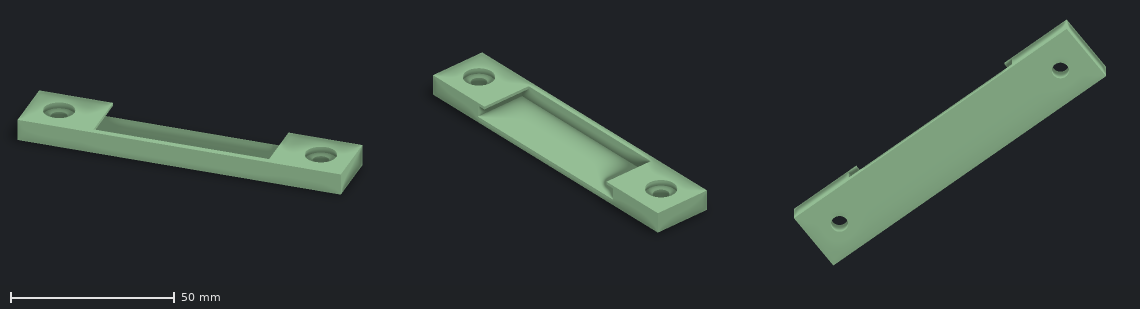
import cadquery as cq

length = 105.0
width = 20.0
height = 7.0

hole_diameter = 5.2
counterbore_diameter = 10.0
counterbore_depth = 2.0
hole_inset = 10.0

recess_mouth = 57.0
floor_thickness = 2.0
front_lip = 2.0
end_lip_thickness = 1.0
end_undercut = 3.0


def make_recess():
    """Recess cutter: a narrower mouth above a floor that runs under a lip at each end."""
    half_mouth = recess_mouth / 2
    lip_z = height - end_lip_thickness
    half_floor = half_mouth + end_undercut
    profile = [
        (-half_mouth, height),
        (-half_mouth, lip_z),
        (-half_floor, lip_z),
        (-half_floor, floor_thickness),
        (half_floor, floor_thickness),
        (half_floor, lip_z),
        (half_mouth, lip_z),
        (half_mouth, height),
    ]
    back_plane = cq.Workplane("XZ", origin=(0, width / 2, 0))
    return back_plane.polyline(profile).close().extrude(width - front_lip)


bar = cq.Workplane("XY").box(length, width, height, centered=(True, True, False))
bar = bar.cut(make_recess())

hole_x = length / 2 - hole_inset
result = (
    bar.faces(">Z")
    .workplane(origin=(0, 0, height))
    .pushPoints([(-hole_x, 0), (hole_x, 0)])
    .cboreHole(hole_diameter, counterbore_diameter, counterbore_depth)
)